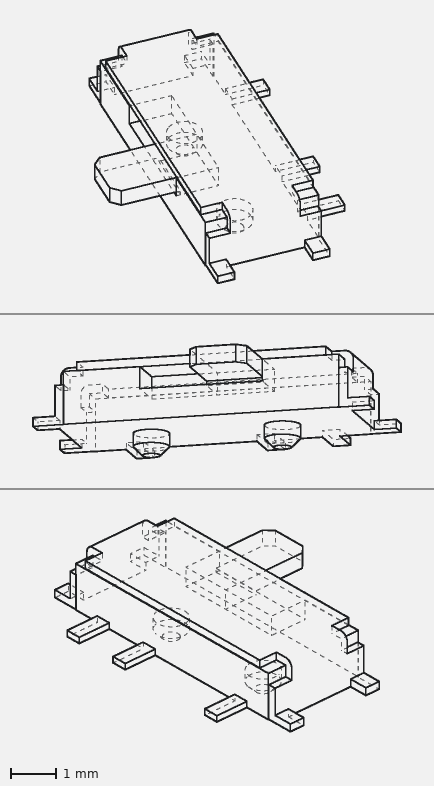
import cadquery as cq

overall_length = 7.7
sheet = 0.2

cover_length = 6.7
housing_length = cover_length - 2 * sheet
housing_depth = 2.695
housing_height = 1.2

cover_setback = 0.015
cover_depth = housing_depth - 2 * cover_setback
cover_height = housing_height + sheet
corner_notch = 0.5

leg_width = 0.4
leg_reach = (overall_length - cover_length) / 2

terminal_width = 0.4
terminal_thickness = 0.16
terminal_reach = 0.9
terminal_centers = (-2.25, 0.75, 2.25)

peg_diameter = 0.8
peg_length = 0.5
peg_chamfer = 0.2
peg_spacing = 3.0

slot_length = 2.8
slot_height = 0.5
slot_depth = 1.0
slot_floor = housing_height - slot_height
front_y = -housing_depth / 2
slot_back_y = front_y + slot_depth

slider_width = 1.3
lever_thickness = 0.4
lever_reach = 1.5
lever_chamfer = 0.2
slider_setback = 0.1
slider_right = slot_length / 2
slider_left = slider_right - slider_width


def box(x_range, y_range, z_range):
    """Box between two limits along each axis."""
    size = [high - low for low, high in (x_range, y_range, z_range)]
    corner = (x_range[0], y_range[0], z_range[0])
    return cq.Workplane("XY").box(*size, centered=False).translate(corner)


def make_housing_block():
    block = cq.Workplane("XY").box(housing_length, housing_depth, housing_height, centered=(True, True, False))
    slot = box(
        (-slot_length / 2, slot_length / 2),
        (front_y, slot_back_y),
        (slot_floor, housing_height),
    )
    return block.cut(slot)


def make_cover():
    shell = cq.Workplane("XY").box(cover_length, cover_depth, cover_height, centered=(True, True, False))
    shell = shell.edges("|Y and >Z").fillet(sheet)
    cavity = cq.Workplane("XY").box(housing_length, cover_depth, housing_height, centered=(True, True, False))
    cover = shell.cut(cavity)
    for side in (-1, 1):
        for end in (-1, 1):
            notch = cq.Workplane("XY").box(corner_notch, corner_notch, corner_notch).translate((
                side * (cover_length - corner_notch) / 2,
                end * (cover_depth - corner_notch) / 2,
                cover_height - corner_notch / 2,
            ))
            leg = cq.Workplane("XY").box(leg_reach, leg_width, sheet).translate((
                side * (cover_length + leg_reach) / 2,
                end * (cover_depth - leg_width) / 2,
                sheet / 2,
            ))
            cover = cover.cut(notch).union(leg)
    return cover


def make_terminal(center_x):
    return box(
        (center_x - terminal_width / 2, center_x + terminal_width / 2),
        (housing_depth / 2, housing_depth / 2 + terminal_reach),
        (0, terminal_thickness),
    )


def make_peg(center_x):
    peg = cq.Workplane("XY").circle(peg_diameter / 2).extrude(-peg_length)
    return peg.faces("<Z").chamfer(peg_chamfer).translate((center_x, 0, 0))


def make_housing():
    """Housing with its cover, terminals and pegs as one solid."""
    housing = make_housing_block().union(make_cover())
    for center_x in terminal_centers:
        housing = housing.union(make_terminal(center_x))
    for center_x in (-peg_spacing / 2, peg_spacing / 2):
        housing = housing.union(make_peg(center_x))
    return housing


def make_slider():
    """Base filling the slot height, with a thinner lever reaching out to -Y."""
    base = box(
        (slider_left, slider_right),
        (front_y + slider_setback, slot_back_y),
        (slot_floor, housing_height),
    )
    lever = box(
        (slider_left, slider_right),
        (front_y - lever_reach, slot_back_y),
        (housing_height - lever_thickness, housing_height),
    )
    lever = lever.edges("|Z and <Y").chamfer(lever_chamfer)
    return base.union(lever)


housing = make_housing()
slider = make_slider()

result = cq.Compound.makeCompound([housing.solids().val(), slider.solids().val()])